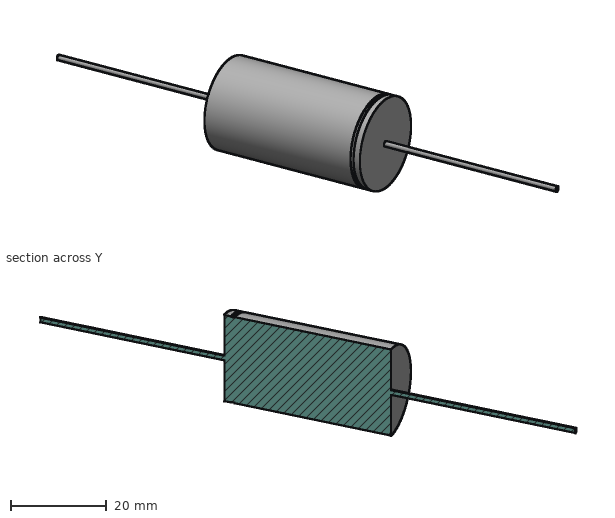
import cadquery as cq

overall_length = 122.0
body_length = 38.1
body_diameter = 20.5
lead_diameter = 1.2

groove_to_end = 1.6
groove_width = 0.7
groove_depth = 0.1


def cylinder_along_x(start_x, length, diameter):
    return cq.Workplane("YZ", origin=(start_x, 0, 0)).circle(diameter / 2).extrude(length)


body_start = -body_length / 2
body = cylinder_along_x(body_start, body_length, body_diameter)

groove_start = body_length / 2 - groove_to_end - groove_width
groove_ring = cylinder_along_x(groove_start, groove_width, body_diameter + 2 * groove_depth).cut(
    cylinder_along_x(groove_start, groove_width, body_diameter - 2 * groove_depth)
)

leads = cylinder_along_x(-overall_length / 2, overall_length, lead_diameter)

result = body.cut(groove_ring).union(leads)